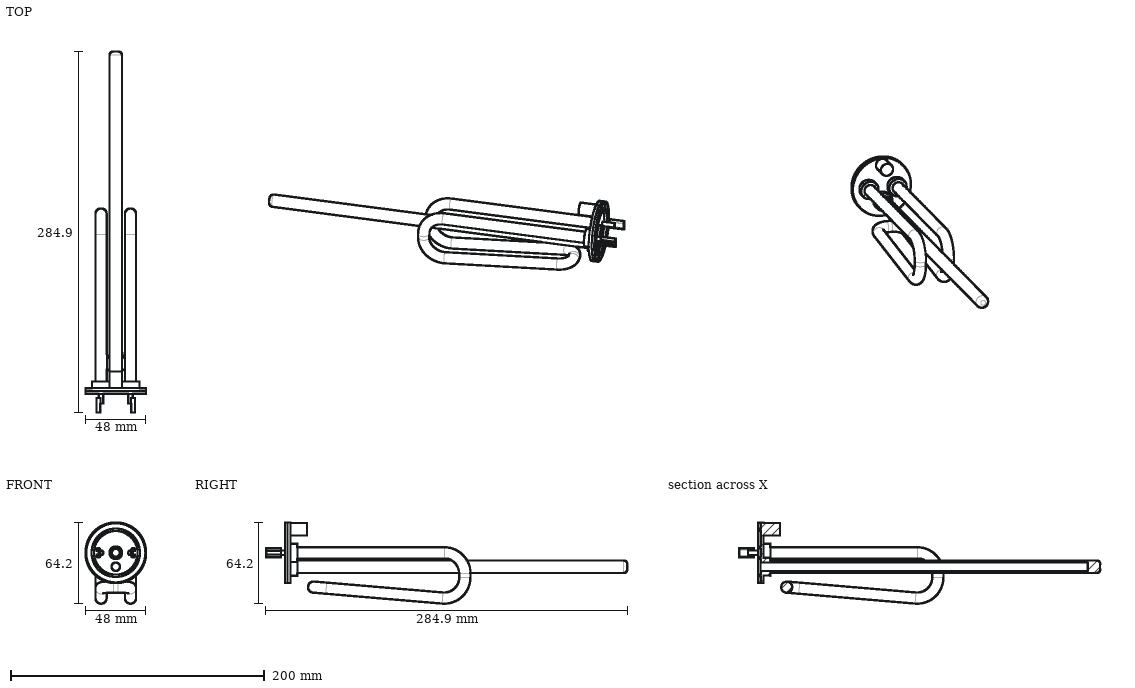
import cadquery as cq
import math


FLANGE_RADIUS = 24.0
FLANGE_THICKNESS = 4.5
FACE_RECESS = 2.2
RIM_INNER_RADIUS = 23.3
RIDGE_INNER_RADIUS = 17.2
RIDGE_OUTER_RADIUS = 19.1

BOSS_OUTER_RADIUS = 5.0
BOSS_INNER_RADIUS = 3.2

STUB_RADIUS = 5.0
STUB_HEIGHT = 18.5
STUB_LENGTH = 13.0

ROD_RADIUS = 5.0
ROD_DROP = 11.0
ROD_END = 270.0
ROD_END_FILLET = 3.0
ROD_BORE_RADIUS = 3.3
ROD_END_WALL = 10.0

COLLAR_RADIUS = 7.2
COLLAR_LENGTH = 5.3

TUBE_RADIUS = 4.5
TUBE_OFFSET = 11.6
BEND_RADIUS = 16.2
BEND_CENTER_Y = 125.6
TUBE_LOWEST = -40.23
RETURN_TILT = math.radians(4.85)
RETURN_LENGTH = 92.0
CROSS_BEND_RADIUS = 10.0

PIN_RADIUS = 1.85
PIN_LENGTH = 7.7
CLIP_START = 3.1
CLIP_END = 14.85
CLIP_INNER_X = 12.2
CLIP_OUTER_X = 15.3
CLIP_HEIGHT = 7.4
CLIP_WALL = 0.8
CLIP_SLOT_HEIGHT = 2.6


def cylinder(x, z, radius, y_start, y_end):
    """Cylinder along Y between two Y positions."""
    base = cq.Vector(x, y_start, z)
    along_y = cq.Vector(0, 1, 0)
    return cq.Workplane(cq.Solid.makeCylinder(radius, y_end - y_start, base, along_y))


def ring(inner_radius, outer_radius):
    """Ring filling the recess depth of the outer face, around the flange axis."""
    return cylinder(0, 0, outer_radius, 0, FACE_RECESS).cut(cylinder(0, 0, inner_radius, 0, FACE_RECESS))


def make_flange():
    """Disc with a recessed outer face that leaves a rim, a round ridge and a hollow boss."""
    flange = cylinder(0, 0, FLANGE_RADIUS, FACE_RECESS, FLANGE_THICKNESS)
    flange = flange.union(ring(RIM_INNER_RADIUS, FLANGE_RADIUS))
    flange = flange.union(ring(RIDGE_INNER_RADIUS, RIDGE_OUTER_RADIUS))
    return flange.union(ring(BOSS_INNER_RADIUS, BOSS_OUTER_RADIUS))


def make_rod():
    rod = cylinder(0, -ROD_DROP, ROD_RADIUS, FACE_RECESS, ROD_END)
    return rod.faces(">Y").edges().fillet(ROD_END_FILLET)


def make_collars():
    collar_end = FLANGE_THICKNESS + COLLAR_LENGTH
    collars = cylinder(0, -ROD_DROP, COLLAR_RADIUS, FLANGE_THICKNESS, collar_end)
    for x in (-TUBE_OFFSET, TUBE_OFFSET):
        collars = collars.union(cylinder(x, 0, COLLAR_RADIUS, FLANGE_THICKNESS, collar_end))
    return collars


def tube_leg(side):
    """Path edges of one tube leg, from the flange to the end of its last bend, and that end point."""
    x = side * TUBE_OFFSET
    half_diagonal = BEND_RADIUS * math.sqrt(0.5)
    lower_center_z = TUBE_LOWEST + TUBE_RADIUS + BEND_RADIUS
    lower_sweep = math.pi / 2 + RETURN_TILT

    def on_lower_bend(angle):
        """Point of the lower bend, with the angle measured downward from +Y."""
        y = BEND_CENTER_Y + BEND_RADIUS * math.cos(angle)
        return cq.Vector(x, y, lower_center_z - BEND_RADIUS * math.sin(angle))

    start = cq.Vector(x, FLANGE_THICKNESS, 0)
    top_start = cq.Vector(x, BEND_CENTER_Y, 0)
    top_middle = cq.Vector(x, BEND_CENTER_Y + half_diagonal, half_diagonal - BEND_RADIUS)
    top_end = cq.Vector(x, BEND_CENTER_Y + BEND_RADIUS, -BEND_RADIUS)
    lower_start = on_lower_bend(0)
    lower_end = on_lower_bend(lower_sweep)

    back = cq.Vector(0, -math.cos(RETURN_TILT), math.sin(RETURN_TILT))
    outward = cq.Vector(side, 0, 0)
    cross_start = lower_end + back * RETURN_LENGTH
    cross_center = cross_start - outward * CROSS_BEND_RADIUS
    cross_middle = cross_center + (back + outward) * (CROSS_BEND_RADIUS * math.sqrt(0.5))
    cross_end = cross_center + back * CROSS_BEND_RADIUS

    edges = [
        cq.Edge.makeLine(start, top_start),
        cq.Edge.makeThreePointArc(top_start, top_middle, top_end),
        cq.Edge.makeLine(top_end, lower_start),
        cq.Edge.makeThreePointArc(lower_start, on_lower_bend(lower_sweep / 2), lower_end),
        cq.Edge.makeLine(lower_end, cross_start),
        cq.Edge.makeThreePointArc(cross_start, cross_middle, cross_end),
    ]
    return edges, cross_end


def make_tube():
    """Two mirrored legs joined by a short straight piece, swept in one run."""
    left_edges, left_end = tube_leg(-1)
    right_edges, right_end = tube_leg(1)
    path = cq.Wire.assembleEdges(left_edges + [cq.Edge.makeLine(left_end, right_end)] + right_edges[::-1])
    profile = cq.Workplane("XZ", origin=(-TUBE_OFFSET, FLANGE_THICKNESS, 0)).circle(TUBE_RADIUS)
    return profile.sweep(path)


def make_terminal(side):
    """Round pin with a folded clip whose curled edges leave a slot facing away from the flange axis."""
    width = CLIP_OUTER_X - CLIP_INNER_X
    length = CLIP_END - CLIP_START
    clip_x = side * (CLIP_INNER_X + CLIP_OUTER_X) / 2
    clip_plane = cq.Workplane("XZ", origin=(clip_x, -CLIP_START, 0))
    shell = clip_plane.slot2D(CLIP_HEIGHT, width, 90).extrude(length)
    hollow = clip_plane.slot2D(CLIP_HEIGHT - 2 * CLIP_WALL, width - 2 * CLIP_WALL, 90).extrude(length)
    slot = clip_plane.center(side * width / 2, 0).rect(width, CLIP_SLOT_HEIGHT).extrude(length)
    pin = cylinder(side * TUBE_OFFSET, 0, PIN_RADIUS, -PIN_LENGTH, FLANGE_THICKNESS)
    return pin.union(shell).cut(hollow).cut(slot)


def make_heater():
    body = make_flange().union(make_rod()).union(make_collars()).union(make_tube())
    body = body.union(cylinder(0, STUB_HEIGHT, STUB_RADIUS, FLANGE_THICKNESS, FLANGE_THICKNESS + STUB_LENGTH))
    for side in (-1, 1):
        body = body.union(make_terminal(side))
    rod_bore = cylinder(0, -ROD_DROP, ROD_BORE_RADIUS, FACE_RECESS, ROD_END - ROD_END_WALL)
    return body.cut(rod_bore)


result = make_heater()